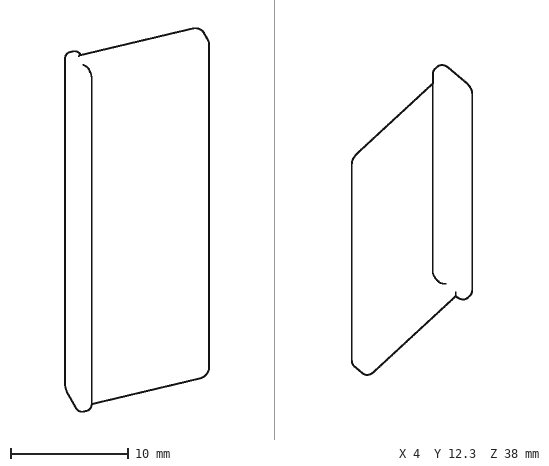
import cadquery as cq

height = 38.0
flange_width = 4.0
depth = 12.3
flange_thickness = 1.3
blade_width = 2.0

corner_radius = 1.0
edge_radius = 0.5


def make_flange():
    """Rounded plate across the front, filleted along both of its rims."""
    plate = cq.Workplane("XY").box(flange_width, flange_thickness, height)
    plate = plate.edges("|Y").fillet(corner_radius)
    return plate.faces("<Y or >Y").edges().fillet(edge_radius)


def make_blade():
    """Blade from the flange mid-plane to the back, with rounded back corners and side edges."""
    length = depth - flange_thickness / 2
    blade = cq.Workplane("XY").box(blade_width, length, height)
    blade = blade.faces(">Y").edges("|X").fillet(corner_radius)
    outer_rim = blade.faces("<X or >X").edges("not <Y")
    return outer_rim.fillet(edge_radius).translate((0, length / 2, 0))


result = make_flange().union(make_blade())